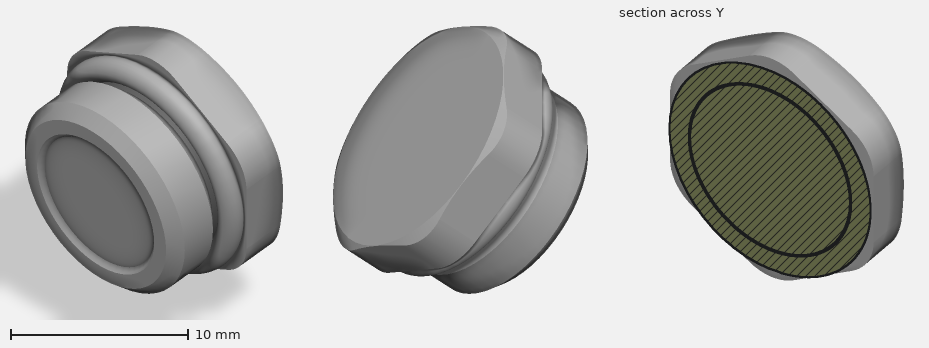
import cadquery as cq
import math

across_flats = 14.0
head_thickness = 3.0
corner_radius = 3.02
head_face_radius = 6.98
head_chamfer_angle = 30

ring_outer_diameter = 14.0
ring_section_diameter = 1.5
ring_embedment = 0.25

total_length = 8.0
plug_diameter = 12.5
tip_diameter = 11.0
neck_diameter = 11.03
shoulder_position = 1.95

recess_diameter = 9.15
recess_floor_diameter = 8.53
recess_depth = 0.3


def revolve_about_y(profile):
    """Revolve a closed (radius, y) profile about the Y axis."""
    return cq.Workplane("XY").polyline(profile).close().revolve(360, (0, 0, 0), (0, 1, 0))


def make_head():
    corner_diameter = across_flats / math.cos(math.radians(30))
    head = (
        cq.Workplane("XZ")
        .transformed(rotate=(0, 0, 30))
        .polygon(6, corner_diameter)
        .extrude(-head_thickness)
        .edges("|Y")
        .fillet(corner_radius)
    )
    rim_radius = corner_diameter / 2
    chamfer_drop = (rim_radius - head_face_radius) * math.tan(math.radians(head_chamfer_angle))
    chamfered_blank = revolve_about_y([
        (0, 0),
        (rim_radius, 0),
        (rim_radius, head_thickness - chamfer_drop),
        (head_face_radius, head_thickness),
        (0, head_thickness),
    ])
    return head.intersect(chamfered_blank)


def make_plug():
    tip_y = head_thickness - total_length
    neck_radius = neck_diameter / 2
    plug_radius = plug_diameter / 2
    tip_radius = tip_diameter / 2
    return revolve_about_y([
        (0, 0),
        (neck_radius, 0),
        (neck_radius, plug_radius - neck_radius - shoulder_position),
        (plug_radius, -shoulder_position),
        (plug_radius, tip_y + plug_radius - tip_radius),
        (tip_radius, tip_y),
        (recess_diameter / 2, tip_y),
        (recess_floor_diameter / 2, tip_y + recess_depth),
        (0, tip_y + recess_depth),
    ])


def make_seal_ring():
    section_radius = ring_section_diameter / 2
    centre_radius = ring_outer_diameter / 2 - section_radius
    centre_y = ring_embedment - section_radius
    return (
        cq.Workplane("XY")
        .center(-centre_radius, centre_y)
        .circle(section_radius)
        .revolve(360, (centre_radius, 0, 0), (centre_radius, 1, 0))
    )


result = make_head().union(make_plug()).union(make_seal_ring())